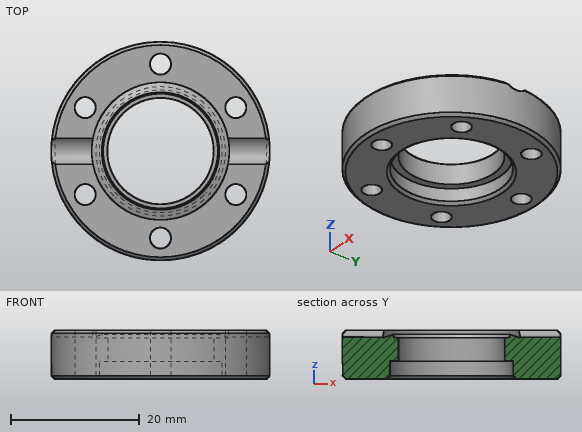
import cadquery as cq
import math

outer_diameter = 34.0
thickness = 7.6
rim_chamfer = 0.5

bore_diameter = 16.5
socket_diameter = 19.1
socket_depth = 2.8
socket_chamfer = 0.5

recess_diameter = 21.4
recess_depth = 1.2
knife_diameter = 18.3
knife_inner_diameter = 17.8
knife_tip_depth = 0.65

bolt_count = 6
bolt_circle_diameter = 27.03
bolt_hole_diameter = 3.23

groove_width = 4.05
groove_depth = 1.05
groove_radius = ((groove_width / 2) ** 2 + groove_depth**2) / (2 * groove_depth)


def flange_body():
    """Disc with chamfered rims, standing on Z = 0."""
    disc = cq.Workplane("XY").circle(outer_diameter / 2).extrude(thickness)
    return disc.edges().chamfer(rim_chamfer)


def recess_cutter():
    """Revolved space above the recess floor and the knife edge, open at the top."""
    floor_z = thickness - recess_depth
    tip_z = thickness - knife_tip_depth
    return (
        cq.Workplane("XZ")
        .moveTo(0, thickness)
        .lineTo(recess_diameter / 2, thickness)
        .lineTo(recess_diameter / 2, floor_z)
        .lineTo(knife_diameter / 2, tip_z)
        .lineTo(knife_inner_diameter / 2, floor_z)
        .lineTo(0, floor_z)
        .close()
        .revolve(360, (0, 0, 0), (0, 1, 0))
    )


def bore_cutter():
    """Through bore with the socket and its chamfered mouth at the lower end."""
    bore = cq.Workplane("XY").circle(bore_diameter / 2).extrude(thickness)
    socket = cq.Workplane("XY").circle(socket_diameter / 2).extrude(socket_depth)
    lead_in = (
        cq.Workplane("XY")
        .circle(socket_diameter / 2 + socket_chamfer)
        .workplane(offset=socket_chamfer)
        .circle(socket_diameter / 2)
        .loft()
    )
    return bore.union(socket).union(lead_in)


def bolt_hole_cutter():
    """Through holes on the bolt circle, with one on the +Y axis."""
    return (
        cq.Workplane("XY")
        .polarArray(bolt_circle_diameter / 2, 90, 360, bolt_count)
        .circle(bolt_hole_diameter / 2)
        .extrude(thickness)
    )


def groove_cutter():
    """Two cylinders sunk into the top face, running from the recess to the rim."""
    inner_end = math.sqrt((recess_diameter / 2) ** 2 - (groove_width / 2) ** 2)
    length = outer_diameter / 2 - inner_end
    axis_z = thickness - groove_depth + groove_radius
    positive_groove = (
        cq.Workplane("YZ", origin=(inner_end, 0, axis_z))
        .circle(groove_radius)
        .extrude(length)
    )
    negative_groove = positive_groove.mirror("YZ")
    return positive_groove.add(negative_groove).combine()


result = (
    flange_body()
    .cut(recess_cutter())
    .cut(bore_cutter())
    .cut(bolt_hole_cutter())
    .cut(groove_cutter())
)